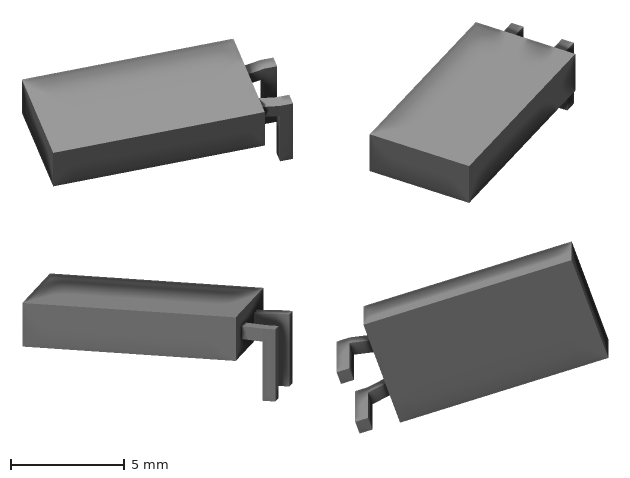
import cadquery as cq

body_width = 5.0
overall_length = 11.27
overall_height = 4.0
body_height = 2.0
body_length = 9.7

lead_size = 0.6
lead_top_depth = 0.7
exit_spacing = 2.16
tip_spacing = 2.54

tip_front = overall_length - lead_size


def make_body():
    return cq.Workplane("XY").box(
        body_width, body_length, body_height, centered=(True, False, False)
    ).translate((0, 0, -body_height))


def make_lead(side):
    """One lead; side is -1 for the -X lead and +1 for the +X lead."""
    exit_x = side * exit_spacing / 2
    tip_x = side * tip_spacing / 2
    half = lead_size / 2
    outline = [
        (exit_x - half, body_length),
        (exit_x + half, body_length),
        (tip_x + half, tip_front),
        (tip_x + half, overall_length),
        (tip_x - half, overall_length),
        (tip_x - half, tip_front),
    ]
    arm = (
        cq.Workplane("XY")
        .workplane(offset=-lead_top_depth)
        .polyline(outline)
        .close()
        .extrude(-lead_size)
    )
    leg = cq.Workplane("XY").box(
        lead_size, lead_size, overall_height - lead_top_depth, centered=(True, False, False)
    ).translate((tip_x, tip_front, -overall_height))
    return arm.union(leg)


result = make_body()
for side in (-1, 1):
    result = result.union(make_lead(side))